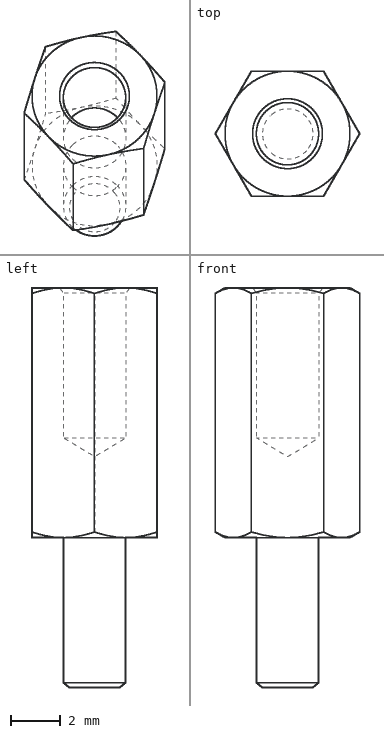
import cadquery as cq
import math

total_height = 16.0
body_height = 10.0
across_flats = 5.0
pin_diameter = 2.5
pin_chamfer_height = 0.2
pin_chamfer_width = 0.24
corner_chamfer_angle = 30.0
hole_diameter = 2.5
hole_depth = 6.0
hole_tip_angle = 118.0
countersink_diameter = 2.8
countersink_depth = 0.2

pin_length = total_height - body_height
across_corners = across_flats / math.cos(math.radians(30))
flat_radius = across_flats / 2
corner_radius = across_corners / 2
corner_drop = (corner_radius - flat_radius) * math.tan(math.radians(corner_chamfer_angle))
pin_radius = pin_diameter / 2
hole_radius = hole_diameter / 2
countersink_radius = countersink_diameter / 2
hole_tip_depth = hole_radius / math.tan(math.radians(hole_tip_angle / 2))


def revolve_profile(points):
    """Turn a closed (radius, height) outline around the Z axis."""
    return cq.Workplane("XZ").polyline(points).close().revolve(360, (0, 0), (0, 1))


def make_body():
    """Hexagonal prism with its corners turned off at both ends."""
    hexagon = (
        cq.Workplane("XY").workplane(offset=pin_length)
        .polygon(6, across_corners).extrude(body_height)
    )
    corner_envelope = revolve_profile([
        (0, pin_length),
        (flat_radius, pin_length),
        (corner_radius, pin_length + corner_drop),
        (corner_radius, total_height - corner_drop),
        (flat_radius, total_height),
        (0, total_height),
    ])
    return hexagon.intersect(corner_envelope)


def make_pin():
    """Round pin below the body, chamfered at its free end."""
    return revolve_profile([
        (0, 0),
        (pin_radius - pin_chamfer_width, 0),
        (pin_radius, pin_chamfer_height),
        (pin_radius, pin_length),
        (0, pin_length),
    ])


def make_hole():
    """Countersunk blind hole with a conical drill tip, cut from the top."""
    hole_bottom = total_height - hole_depth
    return revolve_profile([
        (0, total_height),
        (countersink_radius, total_height),
        (hole_radius, total_height - countersink_depth),
        (hole_radius, hole_bottom),
        (0, hole_bottom - hole_tip_depth),
    ])


result = make_body().union(make_pin()).cut(make_hole())